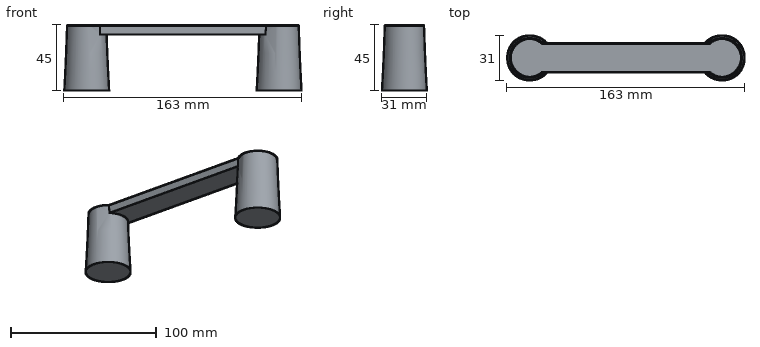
import cadquery as cq

length = 163.0
height = 45.0

base_radius = 15.5
middle_radius = 14.3
top_radius = 13.5
post_offset = length / 2 - base_radius

bar_width = 20.2
bar_thickness = 6.5

edge_bevel = 0.5


def post():
    """Round post about the Z axis: a shallow arc widens it towards the foot."""
    return (
        cq.Workplane("XZ")
        .moveTo(0, height)
        .lineTo(top_radius, height)
        .threePointArc((middle_radius, height / 2), (base_radius, 0))
        .lineTo(0, 0)
        .close()
        .revolve(360, (0, 0), (0, 1))
    )


def grip_bar():
    """Flat bar running between the post axes, flush with the post tops."""
    bar = cq.Workplane("XY").box(
        2 * post_offset, bar_width, bar_thickness, centered=(True, True, False)
    )
    return bar.translate((0, 0, height - bar_thickness))


right_post = post().rotate((0, 0, 0), (0, 0, 1), 180).translate((post_offset, 0, 0))
left_post = post().translate((-post_offset, 0, 0))
handle = grip_bar().union(right_post).union(left_post)

result = handle.faces(">Z").edges().chamfer(edge_bevel)